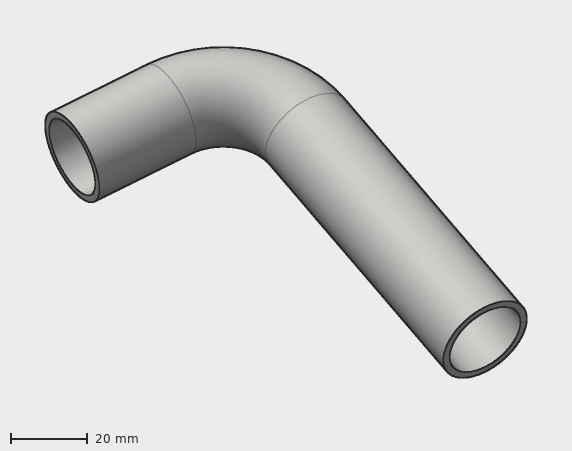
import cadquery as cq

outer_diameter = 26.0
inner_diameter = 22.0
bend_radius = 26.0
short_leg_length = 30.0
long_leg_length = 85.0
bend_angle = 90.0


def tube_section(workplane):
    """Ring-shaped cross-section of the tube, centred on the workplane."""
    return workplane.circle(outer_diameter / 2).circle(inner_diameter / 2)


def make_short_leg():
    """Straight leg from the open end at the origin toward +Y."""
    return tube_section(cq.Workplane("XZ")).extrude(-short_leg_length)


def make_elbow():
    """Elbow turning from +Y to +X about a vertical axis at its inner side."""
    start_plane = cq.Workplane("XZ", origin=(0, short_leg_length, 0))
    axis_start = (bend_radius, 0)
    axis_end = (bend_radius, -1)
    return tube_section(start_plane).revolve(bend_angle, axis_start, axis_end)


def make_long_leg():
    """Straight leg from the end of the elbow toward +X."""
    leg_start = (bend_radius, short_leg_length + bend_radius, 0)
    return tube_section(cq.Workplane("YZ", origin=leg_start)).extrude(long_leg_length)


result = make_short_leg().union(make_elbow()).union(make_long_leg())